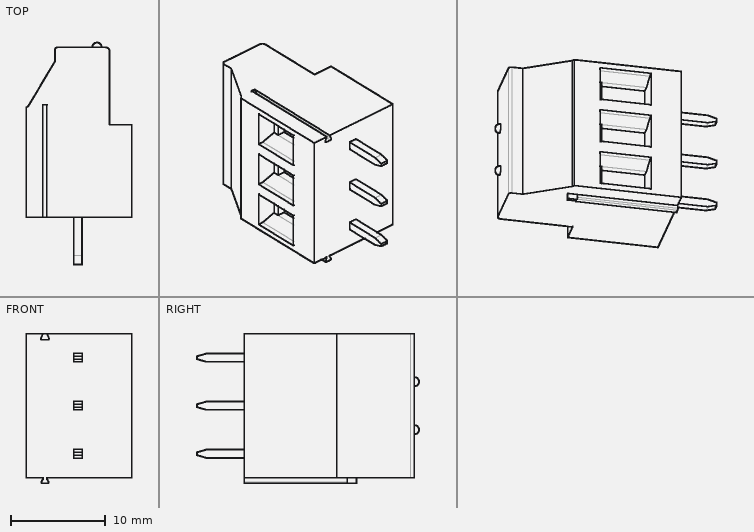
import cadquery as cq


POLE_COUNT = 3
PITCH = 5.08
STACK_HEIGHT = POLE_COUNT * PITCH
POLE_CENTRES = [(index + 0.5) * PITCH for index in range(POLE_COUNT)]

BODY_WIDTH = 11.2
BODY_LENGTH = 18.0
STEP_X = 8.85
STEP_Y = 9.8
HEAD_X = 3.04
SLOPE_TOP_Y = 16.5
SLOPE_BOTTOM_X = 0.25
SLOPE_BOTTOM_Y = 11.8
FRONT_TOP_Y = 11.6
HEAD_FRONT_RADIUS = 0.3
HEAD_BACK_RADIUS = 0.45

JOINT_X = 2.0
JOINT_LENGTH = 11.9
JOINT_NECK_WIDTH = 0.36
JOINT_FOOT_WIDTH = 0.92
JOINT_FOOT_RADIUS = 0.12
RIB_HEIGHT = 0.6
RIB_LEAD_LENGTH = 1.0
GROOVE_DEPTH = 0.65
GROOVE_CLEARANCE = 0.03

ENTRY_Y_MIN = 3.28
ENTRY_Y_MAX = 8.8
ENTRY_HEIGHT = 3.8
ENTRY_STRAIGHT_DEPTH = 0.6
ENTRY_FUNNEL_DEPTH = 2.2
ENTRY_TOTAL_DEPTH = 3.05
THROAT_HEIGHT = 2.8
THROAT_Y_MAX = 8.15

PIN_X = 5.48
PIN_SIZE = 0.9
PIN_TIP_HEIGHT = 0.32
PIN_LENGTH = 5.0
PIN_TAPER_LENGTH = 1.0
PIN_ROOT = 0.5

BUMP_X = 7.5
BUMP_RADIUS = 0.5


def make_housing():
    """Stepped housing with a sloping front and two rounded head corners."""
    outline = [
        (0, 0),
        (BODY_WIDTH, 0),
        (BODY_WIDTH, STEP_Y),
        (STEP_X, STEP_Y),
        (STEP_X, BODY_LENGTH),
        (HEAD_X, BODY_LENGTH),
        (HEAD_X, SLOPE_TOP_Y),
        (SLOPE_BOTTOM_X, SLOPE_BOTTOM_Y),
        (0, FRONT_TOP_Y),
    ]
    housing = cq.Workplane("XY").polyline(outline).close().extrude(STACK_HEIGHT)
    head_front = cq.selectors.NearestToPointSelector((HEAD_X, BODY_LENGTH, STACK_HEIGHT / 2))
    head_back = cq.selectors.NearestToPointSelector((STEP_X, BODY_LENGTH, STACK_HEIGHT / 2))
    housing = housing.edges(head_front).fillet(HEAD_FRONT_RADIUS)
    return housing.edges(head_back).fillet(HEAD_BACK_RADIUS)


def make_dovetail(top_z, height, length, clearance=0):
    """Round-cornered dovetail bar hanging from top_z and running from the -Y face along +Y."""
    half_neck = JOINT_NECK_WIDTH / 2 + clearance
    half_foot = JOINT_FOOT_WIDTH / 2 + clearance
    bottom_z = top_z - height
    section = [
        (JOINT_X - half_neck, top_z),
        (JOINT_X - half_foot, bottom_z),
        (JOINT_X + half_foot, bottom_z),
        (JOINT_X + half_neck, top_z),
    ]
    bar = cq.Workplane("XZ").polyline(section).close().extrude(-length)
    return bar.faces("<Z").edges("|Y").fillet(JOINT_FOOT_RADIUS)


def make_rib():
    """Dovetail rib under the housing, ending in a plain block of neck width."""
    dovetail = make_dovetail(0, RIB_HEIGHT, JOINT_LENGTH - RIB_LEAD_LENGTH)
    lead = (
        cq.Workplane("XY")
        .box(JOINT_NECK_WIDTH, JOINT_LENGTH, RIB_HEIGHT, centered=(True, False, False))
        .translate((JOINT_X, 0, -RIB_HEIGHT))
    )
    return dovetail.union(lead)


def make_wire_entry(centre_z):
    """Cutter for one entry: straight mouth, funnel, then a narrower throat."""
    half_mouth = ENTRY_HEIGHT / 2
    half_throat = THROAT_HEIGHT / 2
    funnel_section = [
        (0, centre_z - half_mouth),
        (ENTRY_STRAIGHT_DEPTH, centre_z - half_mouth),
        (ENTRY_FUNNEL_DEPTH, centre_z - half_throat),
        (ENTRY_FUNNEL_DEPTH, centre_z + half_throat),
        (ENTRY_STRAIGHT_DEPTH, centre_z + half_mouth),
        (0, centre_z + half_mouth),
    ]
    funnel = (
        cq.Workplane("XZ", origin=(0, ENTRY_Y_MIN, 0))
        .polyline(funnel_section)
        .close()
        .extrude(ENTRY_Y_MIN - ENTRY_Y_MAX)
    )
    throat = (
        cq.Workplane("XY")
        .box(ENTRY_TOTAL_DEPTH, THROAT_Y_MAX - ENTRY_Y_MIN, THROAT_HEIGHT, centered=(False, False, True))
        .translate((0, ENTRY_Y_MIN, centre_z))
    )
    return funnel.union(throat)


def make_pin(centre_z):
    """Square pin whose upper and lower faces taper towards the tip."""
    half_size = PIN_SIZE / 2
    half_tip = PIN_TIP_HEIGHT / 2
    taper_y = PIN_TAPER_LENGTH - PIN_LENGTH
    side = [
        (PIN_ROOT, centre_z - half_size),
        (taper_y, centre_z - half_size),
        (-PIN_LENGTH, centre_z - half_tip),
        (-PIN_LENGTH, centre_z + half_tip),
        (taper_y, centre_z + half_size),
        (PIN_ROOT, centre_z + half_size),
    ]
    return (
        cq.Workplane("YZ", origin=(PIN_X, 0, 0))
        .polyline(side)
        .close()
        .extrude(half_size, both=True)
    )


def make_bump(centre_z):
    """Ball half sunk into the +Y face."""
    return cq.Workplane("XZ", origin=(BUMP_X, BODY_LENGTH, centre_z)).sphere(BUMP_RADIUS)


result = make_housing().union(make_rib())
result = result.cut(make_dovetail(STACK_HEIGHT, GROOVE_DEPTH, JOINT_LENGTH, GROOVE_CLEARANCE))
for pole_z in POLE_CENTRES:
    result = result.cut(make_wire_entry(pole_z)).union(make_pin(pole_z))
for boundary in range(1, POLE_COUNT):
    result = result.union(make_bump(boundary * PITCH))